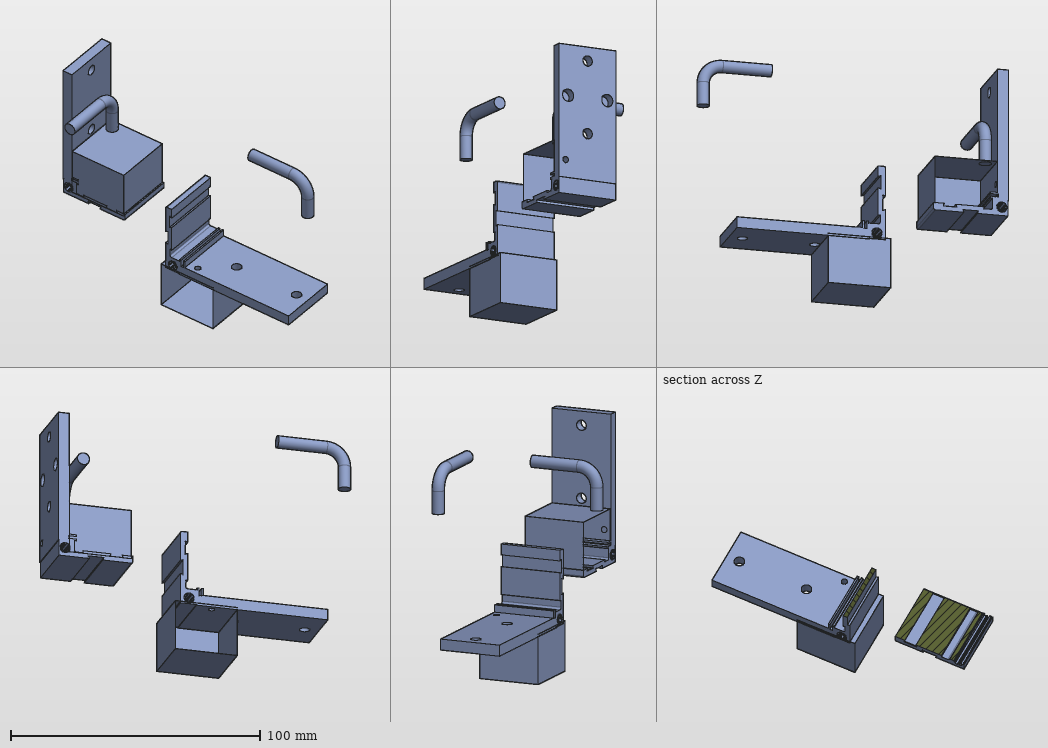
import cadquery as cq
import math

bracket_width = 26.0
long_leg_length = 61.8
long_leg_thickness = 4.6
short_leg_length = 31.2
land_thickness = 3.1
recess_thickness = 2.2
recess_top = 10.4
corner_pad_top = 6.7
corner_fillet = 0.9
tip_fillet = 0.7
underside_step = 0.2
underside_step_length = 6.7

lip_start = 7.0
lip_thickness = 0.7
lip_gap = 1.1
lip_top = 7.5
slot_floor = 4.3

groove_flare = 0.4
outer_groove_low = 13.0
outer_groove_high = 18.6
outer_groove_depth = 1.1
inner_groove_low = 22.0
inner_groove_high = 26.8
inner_groove_floor = 2.0

channel_x = 3.6
channel_z = 2.8
channel_diameter = 4.2
rib_count = 6
rib_height = 0.7
rib_thickness = 0.5

screw_hole_diameter = 4.2
screw_hole_near = 25.9
screw_hole_spacing = 30.1
small_hole_diameter = 2.5
small_hole_x = 14.0
small_hole_y = 3.0
pin_hole_x = 40.7
pin_hole_spacing = 17.9
pin_hole_depth = 4.0

housing_width = 26.0
housing_depth = 25.8
housing_height = 20.8
wall = 0.1

pin_diameter = 5.0
pin_long_straight = 20.5
pin_short_straight = 9.5
pin_bend_radius = 7.8

overall_length = 123.4
flat_side_y = 0.4
flat_bracket_place = (51.3, flat_side_y, -14.8)
upright_housing_place = (long_leg_thickness, 0, inner_groove_floor)
flat_housing_place = (49.1, flat_side_y, -34.7)
flat_pin_top = 63.3

upright_housing_top = inner_groove_floor + housing_height
upright_pin_bend = (8.5, 13.8, upright_housing_top + pin_short_straight + pin_bend_radius)
flat_pin_bend = (
    overall_length - pin_diameter / 2 - pin_bend_radius,
    flat_side_y + pin_diameter / 2,
    flat_pin_top - pin_diameter / 2,
)


def dovetail_groove(mouth_x, floor_x, low, high):
    return (
        cq.Workplane("XZ")
        .polyline([
            (mouth_x, low),
            (floor_x, low - groove_flare),
            (floor_x, high + groove_flare),
            (mouth_x, high),
        ])
        .close()
        .extrude(-bracket_width)
    )


def screw_channel():
    channel = (
        cq.Workplane("XZ")
        .center(channel_x, channel_z)
        .circle(channel_diameter / 2)
        .extrude(-bracket_width)
    )
    rib_center = (channel_diameter - rib_height) / 2
    for i in range(rib_count):
        angle = math.radians(i * 360 / rib_count)
        rib = (
            cq.Workplane("XZ")
            .center(channel_x + rib_center * math.cos(angle), channel_z + rib_center * math.sin(angle))
            .transformed(rotate=(0, 0, math.degrees(angle)))
            .rect(rib_height, rib_thickness)
            .extrude(-bracket_width)
        )
        channel = channel.cut(rib)
    return channel


def leg_holes(diameter, centers, depth=long_leg_thickness):
    """Cutters that enter the long leg from its outer face."""
    return cq.Workplane("XY").pushPoints(centers).circle(diameter / 2).extrude(depth)


def make_bracket():
    slot_start = lip_start + lip_thickness
    slot_end = slot_start + lip_gap
    lips_end = slot_end + lip_thickness
    body = (
        cq.Workplane("XZ")
        .moveTo(0, underside_step)
        .lineTo(underside_step_length, underside_step)
        .lineTo(underside_step_length, 0)
        .lineTo(long_leg_length, 0)
        .lineTo(long_leg_length, long_leg_thickness)
        .lineTo(lips_end, long_leg_thickness)
        .lineTo(lips_end, lip_top)
        .lineTo(slot_end, lip_top)
        .lineTo(slot_end, slot_floor)
        .lineTo(slot_start, slot_floor)
        .lineTo(slot_start, lip_top)
        .lineTo(lip_start, lip_top)
        .lineTo(lip_start, corner_pad_top)
        .lineTo(recess_thickness + corner_fillet, corner_pad_top)
        .radiusArc((recess_thickness, corner_pad_top + corner_fillet), corner_fillet)
        .lineTo(recess_thickness, recess_top)
        .lineTo(land_thickness, recess_top)
        .lineTo(land_thickness, short_leg_length)
        .lineTo(tip_fillet, short_leg_length)
        .radiusArc((0, short_leg_length - tip_fillet), -tip_fillet)
        .close()
        .extrude(-bracket_width)
    )
    body = body.cut(dovetail_groove(0, outer_groove_depth, outer_groove_low, outer_groove_high))
    body = body.cut(dovetail_groove(land_thickness, inner_groove_floor, inner_groove_low, inner_groove_high))
    body = body.cut(screw_channel())
    middle = bracket_width / 2
    screw_centers = [(screw_hole_near, middle), (screw_hole_near + screw_hole_spacing, middle)]
    body = body.cut(leg_holes(screw_hole_diameter, screw_centers))
    return body.cut(leg_holes(small_hole_diameter, [(small_hole_x, small_hole_y)]))


def make_housing():
    """Box of thin walls, open on its -Y side."""
    box = cq.Workplane("XY").box(housing_width, housing_depth, housing_height, centered=False)
    return box.faces("<Y").shell(-wall)


def make_pin():
    """Long straight along -X from the origin, then a bend down to a short straight along -Z."""
    path = (
        cq.Workplane("XZ")
        .moveTo(-pin_long_straight, 0)
        .lineTo(0, 0)
        .radiusArc((pin_bend_radius, -pin_bend_radius), pin_bend_radius)
        .lineTo(pin_bend_radius, -pin_bend_radius - pin_short_straight)
    )
    start = cq.Workplane("YZ", origin=(-pin_long_straight, 0, 0))
    return start.circle(pin_diameter / 2).sweep(path)


housing_center = (housing_width / 2, housing_depth / 2)
upright_box = (
    make_housing()
    .rotate((*housing_center, 0), (*housing_center, 1), 180)
    .translate(upright_housing_place)
)

middle = bracket_width / 2
pin_hole_centers = [
    (pin_hole_x, middle - pin_hole_spacing / 2),
    (pin_hole_x, middle + pin_hole_spacing / 2),
]
closed_wall = (
    cq.Workplane("XY")
    .box(housing_width, wall, housing_height, centered=False)
    .translate(upright_housing_place)
)
upright_bracket = (
    make_bracket()
    .cut(leg_holes(pin_diameter, pin_hole_centers, pin_hole_depth))
    .rotate((0, middle, 0), (1.2, middle, 1.2), 180)
    .cut(closed_wall)
)
upright_housing = upright_box.cut(upright_bracket)

flat_box = make_housing().translate(flat_housing_place)
top_wall = (
    cq.Workplane("XY", origin=(0, 0, housing_height - wall))
    .box(housing_width, housing_depth, wall, centered=False)
    .translate(flat_housing_place)
)
flat_bracket = make_bracket().translate(flat_bracket_place).cut(top_wall)
flat_housing = flat_box.cut(flat_bracket)

flat_pin = make_pin().translate(flat_pin_bend)
upright_pin = make_pin().rotate((0, 0, 0), (0, 0, 1), 90).translate(upright_pin_bend)

result = cq.Compound.makeCompound([
    upright_bracket.val(),
    flat_bracket.val(),
    upright_housing.val(),
    flat_housing.val(),
    upright_pin.val(),
    flat_pin.val(),
])